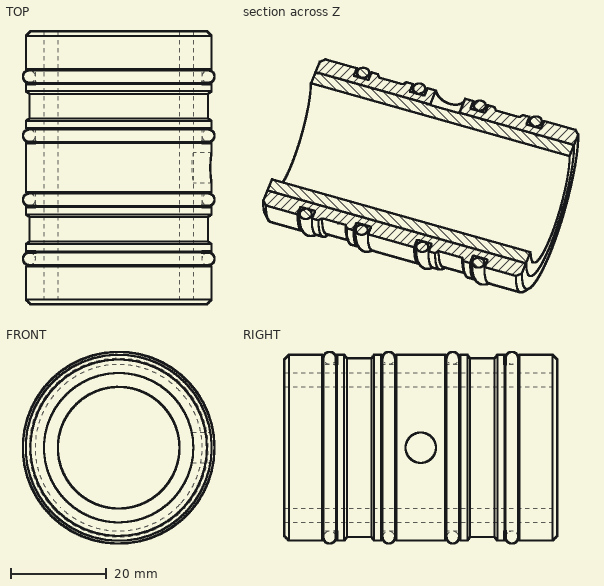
import cadquery as cq

length = 57.15
half_length = length / 2

bore_radius = 25.4 / 2
liner_radius = 31.25 / 2
sleeve_radius = 19.45
recess_floor_radius = 18.72
end_chamfer = 1.0

ring_outer_radius = 20.07
ring_section = 2.62
groove_width = 3.15
groove_floor_radius = ring_outer_radius - ring_section
outer_ring_position = 19.05
inner_ring_position = 6.69
ring_positions = [
    side * position
    for side in (-1, 1)
    for position in (inner_ring_position, outer_ring_position)
]

recess_position = (inner_ring_position + outer_ring_position) / 2
recess_floor_width = 5.15
recess_mouth_width = 6.25

side_hole_diameter = 6.35


def disc(radius):
    """Full-length cylinder along Y."""
    return cq.Workplane("XZ").circle(radius).extrude(half_length, both=True)


def revolve_about_y(profile):
    """Turn a profile, drawn as radius against Y, about the Y axis."""
    return profile.revolve(360, (0, 0, 0), (0, 1, 0))


def groove_cutter(position, floor_radius, floor_width, mouth_width):
    """Ring of material removed by a groove; unequal widths give sloped walls."""
    profile = cq.Workplane("XY").polyline([
        (floor_radius, position - floor_width / 2),
        (sleeve_radius, position - mouth_width / 2),
        (sleeve_radius, position + mouth_width / 2),
        (floor_radius, position + floor_width / 2),
    ]).close()
    return revolve_about_y(profile)


def make_sleeve():
    sleeve = disc(sleeve_radius).edges().chamfer(end_chamfer)
    sleeve = sleeve.cut(disc(liner_radius))
    for position in ring_positions:
        sleeve = sleeve.cut(groove_cutter(position, groove_floor_radius, groove_width, groove_width))
    for side in (-1, 1):
        sleeve = sleeve.cut(
            groove_cutter(side * recess_position, recess_floor_radius, recess_floor_width, recess_mouth_width)
        )
    side_hole = (
        cq.Workplane("YZ")
        .circle(side_hole_diameter / 2)
        .extrude(sleeve_radius)
    )
    return sleeve.cut(side_hole)


def make_liner():
    return disc(liner_radius).cut(disc(bore_radius))


def make_o_ring(position):
    section_radius = ring_section / 2
    mean_radius = ring_outer_radius - section_radius
    return revolve_about_y(cq.Workplane("XY").moveTo(mean_radius, position).circle(section_radius))


sleeve = make_sleeve()
liner = make_liner()
o_rings = [make_o_ring(position) for position in ring_positions]

result = cq.Compound.makeCompound(
    [sleeve.val(), liner.val(), *(ring.val() for ring in o_rings)]
)